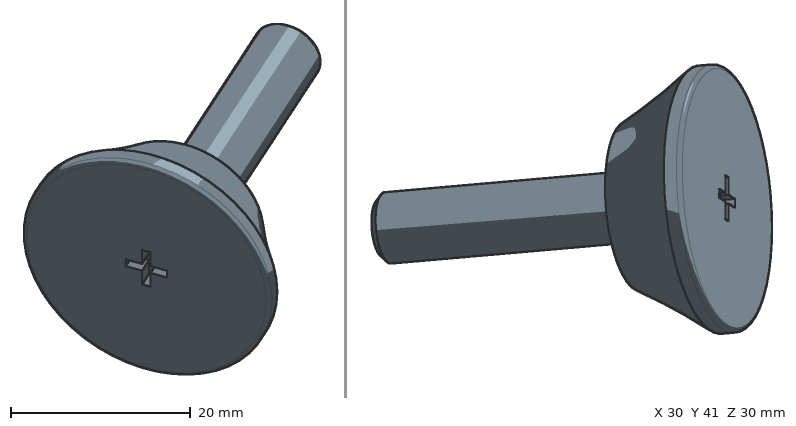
import cadquery as cq

pad_diameter = 30.0
pad_thickness = 2.0
pad_edge_radius = 0.5
foot_height = 11.0
neck_diameter = 19.0
taper_radius = 80.0

stud_diameter = 8.0
stud_length = 30.0
stud_chamfer = 0.8

cross_length = 5.0
cross_width = 1.0
cross_depth = 2.0


def make_foot():
    """Revolve the pad and its concave taper about the Y axis."""
    pad_radius = pad_diameter / 2
    neck_radius = neck_diameter / 2
    taper_end = (neck_radius, foot_height)
    profile = (
        cq.Workplane("XY")
        .lineTo(pad_radius - pad_edge_radius, 0)
        .radiusArc((pad_radius, pad_edge_radius), -pad_edge_radius)
        .lineTo(pad_radius, pad_thickness)
        .radiusArc(taper_end, taper_radius)
        .lineTo(0, foot_height)
        .close()
    )
    return profile.revolve(360, (0, 0, 0), (0, 1, 0))


def make_stud():
    """Round shank along +Y with a chamfered free end."""
    return (
        cq.Workplane("XZ", origin=(0, foot_height, 0))
        .circle(stud_diameter / 2)
        .extrude(-stud_length)
        .faces(">Y")
        .chamfer(stud_chamfer)
    )


def make_cross():
    """Two crossed bars reaching from the pad face into the foot."""
    bar_along_x = cq.Workplane("XZ").rect(cross_length, cross_width).extrude(-cross_depth)
    bar_along_z = cq.Workplane("XZ").rect(cross_width, cross_length).extrude(-cross_depth)
    return bar_along_x.union(bar_along_z)


result = make_foot().union(make_stud()).cut(make_cross())